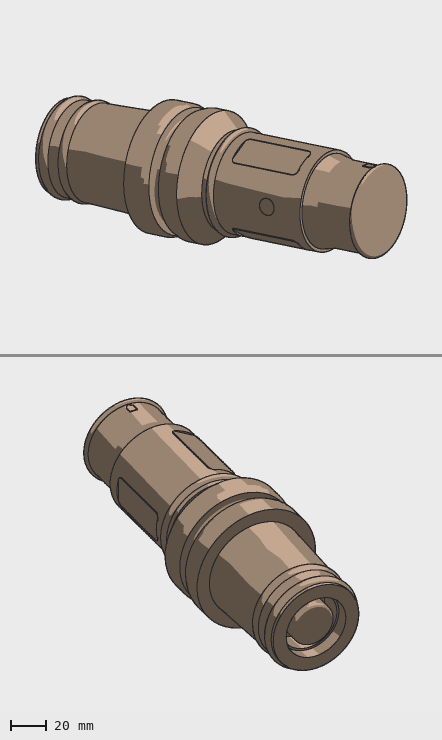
import cadquery as cq

length = 215.1

nose_tip_radius = 27.5
nose_root_radius = 30.1
nose_length = 67.1

flange_radius = 38.0
groove_start = 83.0
groove_end = 89.5
groove_radius = 31.0
groove_floor_fillet = 1.3
front_lip_length = 3.5
rear_lip_length = 4.0
lip_drop = 1.7
lip_blend_radius = 4.3
flange_end = 103.0
shoulder_end = 113.8

body_radius = 29.0
body_end = 180.5
neck_start_radius = 27.1
neck_end = 189.5
tail_radius = 25.2

nose_rings = [(2.2, 8.5, 29.5), (15.7, 21.7, 29.5)]
body_ring = (117.0, 121.8, 31.2)
tail_ring = (212.0, length, 27.0)

mouth_radius = 19.1
mouth_depth = 7.7
socket_radius = 17.9
socket_depth = 21.5
pin_radius = 13.1
pin_setback = 2.5
pin_rounding = 1.7

patch_root = 21.5
patch_top = 32.3

pad_count = 3
pad_start = 128.7
pad_length = 44.0
pad_width = 19.1
pad_corner = 2.8
pad_height = 28.0

button_x = 158.0
button_radius = 5.0
button_height = 28.8

arrow_start = 204.5
arrow_shoulder = 209.0
arrow_tip = 211.5
arrow_half_width = 2.4
arrow_height = 25.5
arrow_root = 23.7


def nose_radius(x):
    """Radius of the tapered nose at station x."""
    return nose_tip_radius + (nose_root_radius - nose_tip_radius) * x / nose_length


def add_ring(outline, ring, start_radius, end_radius):
    """Continue the outline along +X to a ring and over its crest."""
    start, end, crest = ring
    return outline.lineTo(start, start_radius).threePointArc(((start + end) / 2, crest), (end, end_radius))


def make_body():
    """Revolve the outer outline, then blend the edges beside the groove."""
    outline = cq.Workplane("XZ").lineTo(0, nose_tip_radius)
    for ring in nose_rings:
        outline = add_ring(outline, ring, nose_radius(ring[0]), nose_radius(ring[1]))
    outline = (
        outline.lineTo(nose_length, nose_root_radius)
        .lineTo(nose_length, flange_radius)
        .lineTo(groove_start - front_lip_length, flange_radius)
        .lineTo(groove_start, flange_radius - lip_drop)
        .lineTo(groove_start, groove_radius)
        .lineTo(groove_end, groove_radius)
        .lineTo(groove_end, flange_radius - lip_drop)
        .lineTo(groove_end + rear_lip_length, flange_radius)
        .lineTo(flange_end, flange_radius)
        .lineTo(shoulder_end, body_radius)
    )
    outline = add_ring(outline, body_ring, body_radius, body_radius)
    outline = (
        outline.lineTo(body_end, body_radius)
        .lineTo(body_end, neck_start_radius)
        .lineTo(neck_end, tail_radius)
    )
    outline = add_ring(outline, tail_ring, tail_radius, tail_radius)
    body = outline.lineTo(length, 0).close().revolve(360, (0, 0, 0), (1, 0, 0))

    lip_corners = [groove_start - front_lip_length, groove_end + rear_lip_length]
    body = fillet_circles(body, lip_corners, flange_radius, lip_blend_radius)
    return fillet_circles(body, [groove_start, groove_end], groove_radius, groove_floor_fillet)


def fillet_circles(body, stations, radius, fillet_radius):
    """Fillet the circular edges of the given radius at the given stations."""
    tolerance = 0.02
    for x in stations:
        corner = cq.selectors.BoxSelector(
            (x - tolerance, -radius - tolerance, -radius - tolerance),
            (x + tolerance, radius + tolerance, radius + tolerance),
            boundingbox=True,
        )
        rim = body.edges(corner).edges("%CIRCLE").edges(cq.selectors.RadiusNthSelector(-1))
        body = rim.fillet(fillet_radius)
    return body


def cylinder(start, end, radius):
    """Solid cylinder on the X axis between two stations."""
    return cq.Workplane("YZ", origin=(start, 0, 0)).circle(radius).extrude(end - start)


def make_socket():
    """Stepped cavity in the nose, with the pin left standing in it."""
    mouth = cylinder(0, mouth_depth, mouth_radius)
    bore = cylinder(0, socket_depth, socket_radius)
    pin = cylinder(pin_setback, socket_depth, pin_radius).faces("<X").edges().fillet(pin_rounding)
    return mouth.union(bore).cut(pin)


def flatten(body, outline, height):
    """Make the patch of surface inside a +Z facing outline flat at the given height."""
    prism = outline.extrude(patch_top - patch_root)
    above = prism.translate((0, 0, height - patch_root))
    return body.cut(above).union(prism.cut(above))


def add_pads(body):
    """Flatten the pads, the first one facing +Y."""
    step = 360 / pad_count
    body = body.rotate((0, 0, 0), (1, 0, 0), 90)
    for _ in range(pad_count):
        outline = (
            cq.Workplane("XY", origin=(pad_start + pad_length / 2, 0, patch_root))
            .sketch()
            .rect(pad_length, pad_width)
            .vertices()
            .fillet(pad_corner)
            .finalize()
        )
        body = flatten(body, outline, pad_height).rotate((0, 0, 0), (1, 0, 0), step)
    return body.rotate((0, 0, 0), (1, 0, 0), -90)


def add_button(body):
    """Flatten the round button, which faces -Y."""
    outline = cq.Workplane("XY", origin=(button_x, 0, patch_root)).circle(button_radius)
    body = body.rotate((0, 0, 0), (1, 0, 0), -90)
    return flatten(body, outline, button_height).rotate((0, 0, 0), (1, 0, 0), 90)


def make_arrow():
    """Arrow pointing to +X, standing on the top of the tail."""
    return (
        cq.Workplane("XY", origin=(0, 0, arrow_root))
        .moveTo(arrow_start, -arrow_half_width)
        .lineTo(arrow_shoulder, -arrow_half_width)
        .lineTo(arrow_tip, 0)
        .lineTo(arrow_shoulder, arrow_half_width)
        .lineTo(arrow_start, arrow_half_width)
        .close()
        .extrude(arrow_height - arrow_root)
    )


result = make_body().cut(make_socket())
result = add_pads(result)
result = add_button(result)
arrow = make_arrow()
result = result.union(arrow).union(arrow.mirror("XY"))